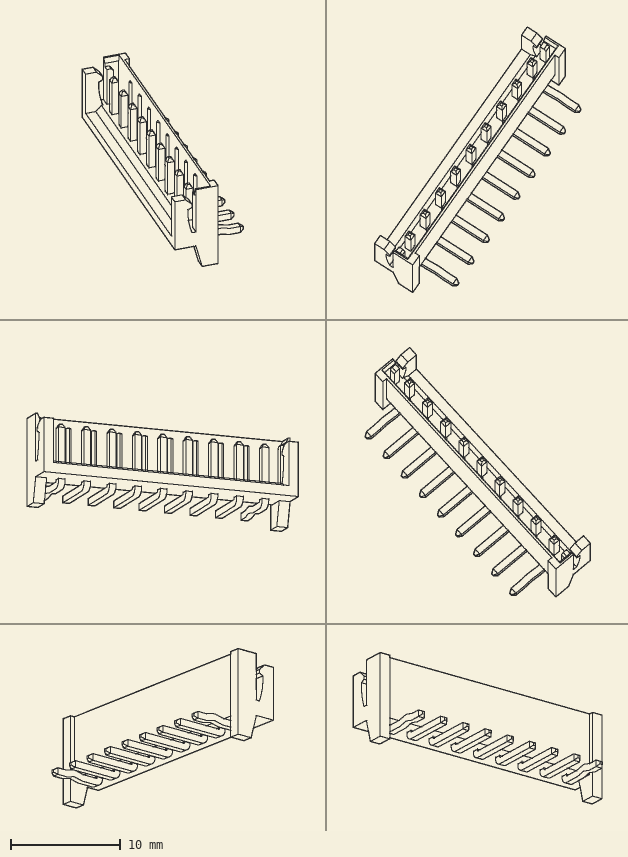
import cadquery as cq

LENGTH = 25.0
HEIGHT = 8.3
DEPTH = 7.5

BASE_Z = 2.3
FLOOR_Z = 3.8
LEDGE_Z = 3.25
LEDGE_DEPTH = 0.98
FLOOR_FRONT_Y = 1.52
WALL_BACK_Y = 3.75
BACK_WALL = 0.35
SIDE_WALL = 0.4
SIDE_FRONT_Y = 2.05
SIDE_BEVEL = 0.22
BACK_BEVEL = 0.12
BEVEL_HEIGHT = 0.45
FRONT_OVERCUT = 0.25

FOOT_WIDTH = 1.08
FOOT_BACK_Y = 4.2
FOOT_TIP_Y = 2.65

ARM_WIDTH = 0.95
ARM_TOP_Z = 7.42
ARM_TOP_DEPTH = 1.05
NOSE_Y = 1.68
NOSE_TOP_Z = 6.82
NOSE_BOTTOM_Z = 6.5
ARM_NECK_Y = 1.28
ARM_NECK_Z = 6.3
ARM_MID_Y = 1.35
ARM_MID_Z = 5.02
ARM_ROOT_Y = 1.68

POST_TOP_Z = 7.5
POST_BACK_Y = 2.7
POST_BEVEL = 0.22

RIB_WIDTH = 0.5
RIB_DEPTH = 0.22

PIN_COUNT = 9
PITCH = 2.5
PIN = 0.65
PIN_Y = 2.2
PIN_TOP_Z = 7.5
TAIL_Z = 1.8
TIP_LENGTH = 0.35
TIP_FLAT = 0.25
BEND_INNER = 0.05
KINK_RISE = 0.2
KINK_START_Y = 4.15
KINK_END_Y = 6.15
KINK_TOP_START_Y = 5.1
KINK_TOP_END_Y = 5.35
KINK_SHIFT = 0.08

half_length = LENGTH / 2
half_pin = PIN / 2
inner_half = half_length - SIDE_WALL
wall_front_y = WALL_BACK_Y - BACK_WALL
pin_xs = [(i - (PIN_COUNT - 1) / 2) * PITCH for i in range(PIN_COUNT)]


def block(x0, x1, y0, y1, z0, z1):
    """Box between two opposite corners."""
    return cq.Workplane("XY").box(x1 - x0, y1 - y0, z1 - z0, centered=False).translate((x0, y0, z0))


def extrude_x(profile, x0, x1):
    """Extrude a closed YZ profile from x0 to x1."""
    return profile.extrude(x1 - x0).translate((x0, 0, 0))


def base():
    """Housing base with a sloped step from the front ledge up to the floor."""
    profile = cq.Workplane("YZ").polyline([
        (0, BASE_Z), (WALL_BACK_Y, BASE_Z), (WALL_BACK_Y, FLOOR_Z),
        (FLOOR_FRONT_Y, FLOOR_Z), (LEDGE_DEPTH, LEDGE_Z), (0, LEDGE_Z),
    ]).close()
    return extrude_x(profile, -half_length, half_length)


def walls():
    """Back and side walls, bevelled inside along the rim."""
    shell = block(-half_length, half_length, SIDE_FRONT_Y, WALL_BACK_Y, BASE_Z, HEIGHT)
    front_y = SIDE_FRONT_Y - FRONT_OVERCUT
    cavity = block(-inner_half, inner_half, front_y, wall_front_y, FLOOR_Z, HEIGHT)
    mid_y = (front_y + wall_front_y) / 2
    bevel = (
        cq.Workplane("XY", origin=(0, mid_y, HEIGHT - BEVEL_HEIGHT))
        .rect(2 * inner_half, wall_front_y - front_y)
        .workplane(offset=BEVEL_HEIGHT)
        .rect(2 * (inner_half + SIDE_BEVEL), wall_front_y - front_y + 2 * BACK_BEVEL)
        .loft(ruled=True)
    )
    return shell.cut(cavity).cut(bevel)


def foot(x0):
    """End upright reaching down into a tapered foot."""
    profile = cq.Workplane("YZ").polyline([
        (FOOT_TIP_Y, 0), (FOOT_BACK_Y, 0), (FOOT_BACK_Y, HEIGHT), (WALL_BACK_Y, HEIGHT),
        (WALL_BACK_Y, BASE_Z), (SIDE_FRONT_Y, BASE_Z),
    ]).close()
    return extrude_x(profile, x0, x0 + FOOT_WIDTH)


def arm(x0):
    """Latch arm with a hooked nose and a curved back."""
    profile = (
        cq.Workplane("YZ").moveTo(0, BASE_Z).lineTo(0, ARM_TOP_Z).lineTo(ARM_TOP_DEPTH, ARM_TOP_Z)
        .lineTo(NOSE_Y, NOSE_TOP_Z).lineTo(NOSE_Y, NOSE_BOTTOM_Z).lineTo(ARM_NECK_Y, ARM_NECK_Z)
        .threePointArc((ARM_MID_Y, ARM_MID_Z), (ARM_ROOT_Y, FLOOR_Z))
        .lineTo(ARM_ROOT_Y, BASE_Z).close()
    )
    return extrude_x(profile, x0, x0 + ARM_WIDTH)


def post(x0):
    """Post inside a side wall, bevelled along its top back edge."""
    profile = cq.Workplane("YZ").polyline([
        (SIDE_FRONT_Y, FLOOR_Z), (SIDE_FRONT_Y, POST_TOP_Z), (POST_BACK_Y - POST_BEVEL, POST_TOP_Z),
        (POST_BACK_Y, POST_TOP_Z - POST_BEVEL), (POST_BACK_Y, FLOOR_Z),
    ]).close()
    return extrude_x(profile, x0, x0 + ARM_WIDTH)


def rib(x):
    """Triangular upright rib on the inside of the back wall."""
    return (
        cq.Workplane("XY", origin=(x, wall_front_y, FLOOR_Z))
        .polyline([(-RIB_WIDTH / 2, 0), (0, -RIB_DEPTH), (RIB_WIDTH / 2, 0)]).close()
        .extrude(POST_TOP_Z - FLOOR_Z)
    )


def pin_hole(x):
    return block(x - half_pin, x + half_pin, PIN_Y - half_pin, PIN_Y + half_pin, BASE_Z, FLOOR_Z)


def make_housing():
    housing = base().union(walls())
    for x0 in (-half_length, half_length - FOOT_WIDTH):
        housing = housing.union(foot(x0))
    for x0 in (-half_length, half_length - ARM_WIDTH):
        housing = housing.union(arm(x0)).union(post(x0))
    for x in pin_xs[:-1]:
        housing = housing.union(rib(x + PITCH / 2))
    for x in pin_xs:
        housing = housing.cut(pin_hole(x))
    return housing


def pin_tip(plane):
    """Tapered end standing on the given workplane."""
    return plane.rect(PIN, PIN).workplane(offset=TIP_LENGTH).rect(TIP_FLAT, TIP_FLAT).loft(ruled=True)


def make_pin(x, kinked):
    """Bent pin: upright leg, rounded bend and tail; a kinked pin has an upward hump in its tail."""
    front, back = PIN_Y - half_pin, PIN_Y + half_pin
    low, high = TAIL_Z - half_pin, TAIL_Z + half_pin
    leg_top = PIN_TOP_Z - TIP_LENGTH
    tail_end = DEPTH - TIP_LENGTH
    bend_y, bend_z = back + BEND_INNER, high + BEND_INNER
    lower = [(tail_end, low)]
    upper = [(tail_end, high)]
    if kinked:
        kink = [
            (KINK_START_Y, 0), (KINK_TOP_START_Y, KINK_RISE),
            (KINK_TOP_END_Y, KINK_RISE), (KINK_END_Y, 0),
        ]
        lower_shifts = [KINK_SHIFT, KINK_SHIFT, -KINK_SHIFT, -KINK_SHIFT]
        upper = [(y, high + rise) for y, rise in kink] + upper
        underside = [(y + shift, low + rise) for (y, rise), shift in zip(kink, lower_shifts)]
        lower += reversed(underside)
    profile = (
        cq.Workplane("YZ").moveTo(front, bend_z).lineTo(front, leg_top).lineTo(back, leg_top)
        .lineTo(back, bend_z).radiusArc((bend_y, high), -BEND_INNER)
        .polyline(upper + lower + [(bend_y, low)], includeCurrent=True)
        .radiusArc((front, bend_z), BEND_INNER + PIN).close()
    )
    pin = extrude_x(profile, x - half_pin, x + half_pin)
    leg_plane = cq.Plane(origin=(x, PIN_Y, leg_top))
    pin = pin.union(pin_tip(cq.Workplane(leg_plane)))
    tail_plane = cq.Plane(origin=(x, tail_end, TAIL_Z), xDir=(1, 0, 0), normal=(0, 1, 0))
    return pin.union(pin_tip(cq.Workplane(tail_plane)))


housing = make_housing()
pins = [make_pin(x, x in (pin_xs[0], pin_xs[-1])) for x in pin_xs]
result = cq.Compound.makeCompound([housing.val(), *[pin.val() for pin in pins]])